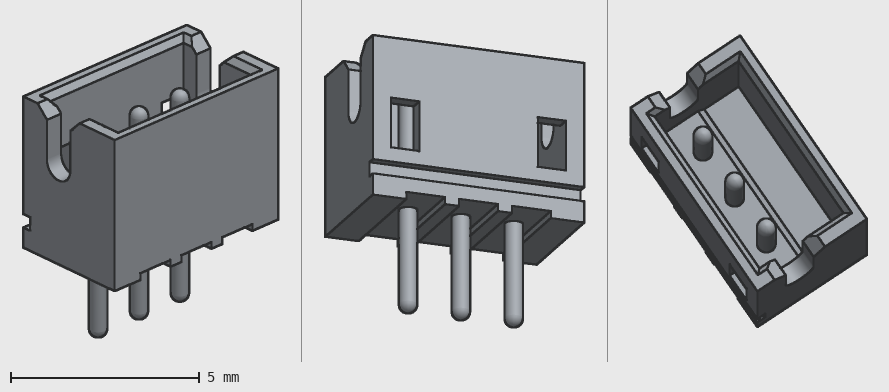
import cadquery as cq

depth = 3.5
length = 6.0
height = 4.5

front_wall = 0.42
back_wall = 0.4
end_wall = 0.52
floor_height = 1.4
lead_in_width = 0.16
lead_in_height = 0.2

trough_floor_height = 1.1
ramp_length = 0.2

slot_start = 0.91
slot_width = 0.89
slot_depth = 2.0
slot_chamfer = 0.36

window_height = 1.4
window_width = 0.8

outer_groove_base = 0.6
outer_groove_height = 0.4
outer_groove_depth = 0.26

pin_count = 3
pin_pitch = 1.5
pin_diameter = 0.5
pin_x = 1.3
pin_bottom = -2.7
pin_top = 3.6
dome_fraction = 0.999

relief_width = 1.1
relief_height = 0.2

cavity_depth = depth - front_wall - back_wall
cavity_length = length - 2 * end_wall
slot_end = slot_start + slot_width
pin_positions = [(i - (pin_count - 1) / 2) * pin_pitch for i in range(pin_count)]


def box(x_start, x_end, y_centre, y_size, z_start, z_end):
    """Axis-aligned box, centred on y_centre along Y."""
    return (
        cq.Workplane("XY")
        .box(x_end - x_start, y_size, z_end - z_start, centered=(False, True, False))
        .translate((x_start, y_centre, z_start))
    )


def cavity():
    """Rectangular well with a flared lead-in at its mouth."""
    well = box(front_wall, depth - back_wall, 0, cavity_length, floor_height, height)
    mouth_centre = (front_wall + cavity_depth / 2, 0)
    lead_in = (
        cq.Workplane("XY", origin=(*mouth_centre, height - lead_in_height))
        .rect(cavity_depth, cavity_length)
        .workplane(offset=lead_in_height)
        .rect(cavity_depth + 2 * lead_in_width, cavity_length + 2 * lead_in_width)
        .loft(ruled=True)
    )
    return well.union(lead_in)


def rear_trough():
    """Deeper part of the cavity behind the pins, with a ramp up to the pin ledge."""
    trough_back = depth - back_wall
    return (
        cq.Workplane("XZ", origin=(0, cavity_length / 2, 0))
        .moveTo(slot_end, floor_height)
        .lineTo(slot_end + ramp_length, trough_floor_height)
        .lineTo(trough_back, trough_floor_height)
        .lineTo(trough_back, floor_height)
        .close()
        .extrude(cavity_length)
    )


def end_slots():
    """Round-bottomed slot along the full length, chamfered at the top edge."""
    slot_radius = slot_width / 2
    slot_bottom = height - slot_depth
    arc_height = slot_bottom + slot_radius
    chamfer_base = height - slot_chamfer
    return (
        cq.Workplane("XZ", origin=(0, length / 2, 0))
        .moveTo(slot_start - slot_chamfer, height)
        .lineTo(slot_start, chamfer_base)
        .lineTo(slot_start, arc_height)
        .threePointArc((slot_start + slot_radius, slot_bottom), (slot_end, arc_height))
        .lineTo(slot_end, chamfer_base)
        .lineTo(slot_end + slot_chamfer, height)
        .close()
        .extrude(length)
    )


def latch_window(side):
    """Rectangular window through the front wall, flush with the cavity end and ledge."""
    y_centre = side * (cavity_length - window_width) / 2
    return box(0, front_wall, y_centre, window_width, floor_height, floor_height + window_height)


def outer_groove():
    groove_top = outer_groove_base + outer_groove_height
    return box(0, outer_groove_depth, 0, length, outer_groove_base, groove_top)


def pin(y):
    """Round pin with domed ends."""
    radius = pin_diameter / 2
    return (
        cq.Workplane("XY", origin=(pin_x, y, pin_bottom))
        .circle(radius)
        .extrude(pin_top - pin_bottom)
        .faces("<Z or >Z")
        .edges()
        .fillet(radius * dome_fraction)
    )


housing = box(0, depth, 0, length, 0, height)
housing = housing.cut(cavity()).cut(rear_trough()).cut(end_slots()).cut(outer_groove())
for side in (-1, 1):
    housing = housing.cut(latch_window(side))
for y in pin_positions:
    housing = housing.cut(box(0, depth, y, relief_width, 0, relief_height))

result = housing
for y in pin_positions:
    result = result.union(pin(y))